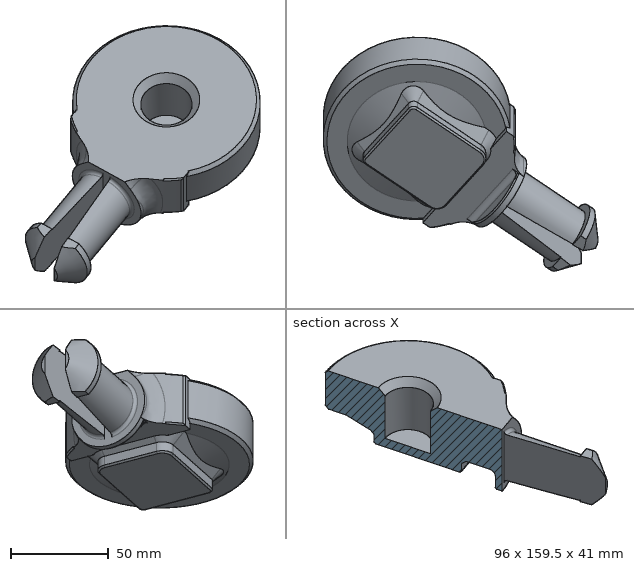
import cadquery as cq
import math


wheel_radius = 48.0
wheel_thickness = 25.5
wheel_chamfer = 1.9
hole_radius = 13.0
countersink_depth = 4.0
hole_depth = 31.9

cone_outer_radius = 35.7
cone_inner_radius = 19.8
cone_depth = 5.1
boss_half_width = 21.5
boss_back = 19.8
boss_front = -31.1
boss_bottom = -38.0
boss_back_round = 3.2
boss_front_round = 6.4
boss_edge_chamfer = 1.0
boss_skirt_bottom = -31.9
wheel_overlap = 3.2

block_half_width = 34.69
block_front_radius = 50.4
block_back = -31.0
block_depth = 29.3
block_chamfer = 0.8

overall_length = 159.5
overall_height = 41.0
flange_radius = 21.2
flange_thickness = 4.1
flange_front = -54.7
flange_back = flange_front + flange_thickness
flange_chamfer = 0.8
axis_z = flange_radius - overall_height
neck_blend_radius = 11.5
neck_half_width = 26.8
neck_oversize = 4.8
neck_root_fillet = 3.2

peg_tip = wheel_radius - overall_length
peg_radius = 15.3
peg_root_fillet = 1.8
barb_radius = 19.1
barb_back = -97.3
barb_cone_start = -100.8
barb_tip_radius = 8.0
barb_half_height = 15.2
slot_root_half_width = 2.0
slot_tip_half_width = 5.9


def box_between(x_min, x_max, y_min, y_max, z_min, z_max):
    size = (x_max - x_min, y_max - y_min, z_max - z_min)
    box = cq.Workplane("XY").box(*size, centered=False)
    return box.translate((x_min, y_min, z_min))


def peg_axis_revolve(profile):
    """Revolve a closed XY profile about the Y axis and drop it to the peg axis."""
    return profile.revolve(360, (0, 0, 0), (0, 1, 0)).translate((0, 0, axis_z))


def make_wheel():
    disc = cq.Workplane("XY").circle(wheel_radius).extrude(-wheel_thickness)
    disc = disc.faces("<Z or >Z").edges().chamfer(wheel_chamfer)
    cone = (
        cq.Workplane("XZ")
        .moveTo(0, -wheel_thickness)
        .lineTo(cone_outer_radius, -wheel_thickness)
        .lineTo(cone_inner_radius, -wheel_thickness - cone_depth)
        .lineTo(0, -wheel_thickness - cone_depth)
        .close()
        .revolve(360, (0, 0, 0), (0, 1, 0))
    )
    return disc.union(cone)


def boss_prism(bottom, margin=0.0):
    """Rounded boss outline, grown by a margin, from the given bottom up into the wheel."""
    prism = box_between(
        -boss_half_width - margin, boss_half_width + margin,
        boss_front - margin, boss_back + margin,
        bottom, -wheel_thickness + wheel_overlap,
    )
    prism = prism.edges("|Z and >Y").fillet(boss_back_round + margin)
    return prism.edges("|Z and <Y").fillet(boss_front_round + margin)


def make_boss():
    """Rounded boss with a 45 degree skirt where its walls meet the wheel."""
    boss = boss_prism(boss_bottom).faces("<Z").edges().chamfer(boss_edge_chamfer)
    skirt_width = -wheel_thickness - boss_skirt_bottom
    skirt = boss_prism(boss_skirt_bottom, skirt_width)
    return boss.union(skirt.faces("<Z").edges().chamfer(skirt_width))


def block_prism(top, bottom):
    """Straight-sided block with a round front, without chamfers."""
    corner_y = -math.sqrt(block_front_radius**2 - block_half_width**2)
    return (
        cq.Workplane("XY", origin=(0, 0, bottom))
        .moveTo(-block_half_width, block_back)
        .lineTo(-block_half_width, corner_y)
        .threePointArc((0, -block_front_radius), (block_half_width, corner_y))
        .lineTo(block_half_width, block_back)
        .close()
        .extrude(top - bottom)
    )


def flange_prism(top, back, front):
    """Cylinder on the peg axis with 45 degree tangent shoulders up to a flat top."""
    tangent = flange_radius / math.sqrt(2)
    flat_half_width = flange_radius * math.sqrt(2) + axis_z - top
    return (
        cq.Workplane("XZ", origin=(0, back, 0))
        .moveTo(-flat_half_width, top)
        .lineTo(-tangent, axis_z + tangent)
        .threePointArc((0, axis_z - flange_radius), (tangent, axis_z + tangent))
        .lineTo(flat_half_width, top)
        .close()
        .extrude(back - front)
    )


def make_block():
    return block_prism(0, -block_depth).faces("<Y").edges().chamfer(block_chamfer)


def make_flange():
    flange = flange_prism(0, flange_back, flange_front)
    return flange.edges("%CIRCLE and >Y").chamfer(flange_chamfer)


def make_neck():
    """Neck blended into the round block front by a fillet.

    The block and neck are made oversize so that the fillet runs out cleanly,
    then trimmed to the top face, the block bottom and the flange front.
    """
    block = block_prism(neck_oversize, -overall_height - neck_blend_radius)
    neck = flange_prism(neck_oversize, block_back, flange_front - neck_blend_radius)
    joint = cq.selectors.BoxSelector(
        (-flange_radius, -block_front_radius - neck_oversize, -overall_height),
        (flange_radius, block_back, neck_oversize / 2),
    )
    curved = block.union(neck).edges(joint).edges("not %LINE")
    trim = box_between(
        -neck_half_width, neck_half_width, flange_front, block_back, -block_depth, 0
    )
    return curved.fillet(neck_blend_radius).intersect(trim)


def make_neck_root():
    """Concave fillet between the back of the flange and the bottom of the block."""
    fillet_end = flange_back + neck_root_fillet
    sag = neck_root_fillet * (1 - 1 / math.sqrt(2))
    root = (
        cq.Workplane("YZ")
        .moveTo(flange_back, -block_depth)
        .lineTo(fillet_end, -block_depth)
        .threePointArc(
            (flange_back + sag, -block_depth - sag),
            (flange_back, -block_depth - neck_root_fillet),
        )
        .close()
        .extrude(flange_radius, both=True)
    )
    return root.intersect(flange_prism(0, fillet_end, flange_back))


def make_peg():
    root_end = flange_front - peg_root_fillet
    sag = peg_root_fillet * (1 - 1 / math.sqrt(2))
    shaft = peg_axis_revolve(
        cq.Workplane("XY")
        .moveTo(0, flange_back)
        .lineTo(peg_radius + peg_root_fillet, flange_back)
        .lineTo(peg_radius + peg_root_fillet, flange_front)
        .threePointArc((peg_radius + sag, flange_front - sag), (peg_radius, root_end))
        .lineTo(peg_radius, barb_back)
        .lineTo(0, barb_back)
        .close()
    )
    barb = peg_axis_revolve(
        cq.Workplane("XY")
        .moveTo(0, barb_back)
        .lineTo(barb_radius, barb_back)
        .lineTo(barb_radius, barb_cone_start)
        .lineTo(barb_tip_radius, peg_tip)
        .lineTo(0, peg_tip)
        .close()
    )
    flats = box_between(
        -barb_radius, barb_radius, peg_tip, barb_back,
        axis_z - barb_half_height, axis_z + barb_half_height,
    )
    slot = (
        cq.Workplane("XY", origin=(0, 0, axis_z))
        .moveTo(-slot_root_half_width, flange_front)
        .lineTo(slot_root_half_width, flange_front)
        .lineTo(slot_tip_half_width, peg_tip)
        .lineTo(-slot_tip_half_width, peg_tip)
        .close()
        .extrude(barb_radius, both=True)
    )
    return shaft.union(barb.intersect(flats)).cut(slot)


def make_hole():
    mouth_radius = hole_radius + countersink_depth
    return (
        cq.Workplane("XZ")
        .lineTo(mouth_radius, 0)
        .lineTo(hole_radius, -countersink_depth)
        .lineTo(hole_radius, -hole_depth)
        .lineTo(0, -hole_depth)
        .close()
        .revolve(360, (0, 0, 0), (0, 1, 0))
    )


body = make_wheel().union(make_boss()).union(make_block())
body = body.union(make_neck()).union(make_neck_root()).union(make_flange())
result = body.union(make_peg()).cut(make_hole())